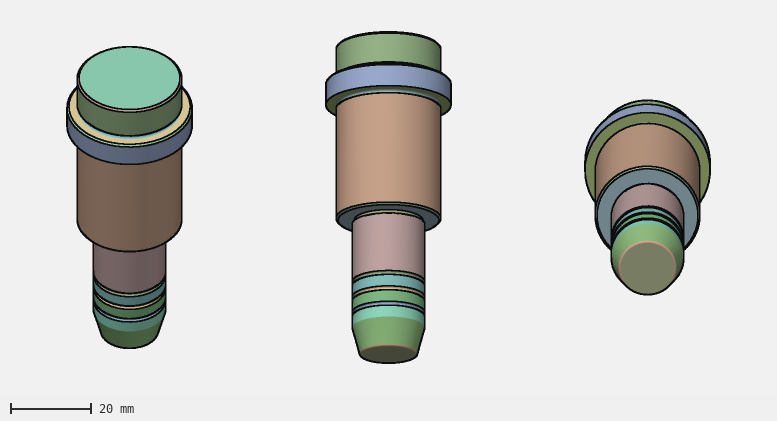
import cadquery as cq
import math

total_length = 80.0
cap_bottom = 72.0
flange_top = 71.0
flange_bottom = 65.0
body_bottom = 35.0
shank_top = 34.0
taper_top = 7.0
barb_groove_tops = (19.0, 15.0, 11.0)

body_radius = 26.0 / 2
flange_radius = 31.0 / 2
shank_radius = 18.0 / 2

edge_chamfer = 0.5
tip_fillet = 0.5
taper_angle = math.radians(15)
groove_radius = 0.5
neck_depth = 0.5


def add_groove(profile, radius, top):
    """Continue a downward profile through one half-round groove."""
    return (
        profile.lineTo(-radius, top)
        .threePointArc(
            (-(radius - groove_radius), top - groove_radius),
            (-radius, top - 2 * groove_radius),
        )
    )


def add_head(profile):
    """Trace the cap, the flange and the body, from the top face downward."""
    profile = (
        profile.lineTo(-(body_radius - edge_chamfer), total_length)
        .lineTo(-body_radius, total_length - edge_chamfer)
    )
    profile = add_groove(profile, body_radius, cap_bottom)
    profile = (
        profile.lineTo(-(flange_radius - edge_chamfer), flange_top)
        .lineTo(-flange_radius, flange_top - edge_chamfer)
        .lineTo(-flange_radius, flange_bottom)
    )
    profile = add_groove(profile, body_radius, flange_bottom)
    return (
        profile.lineTo(-body_radius, body_bottom + edge_chamfer)
        .lineTo(-(body_radius - edge_chamfer), body_bottom)
    )


def add_shank(profile):
    """Trace the neck, the grooved shank and the tapered tip, down to the end face."""
    neck_radius = shank_radius - neck_depth
    tip_corner_radius = shank_radius - taper_top * math.tan(taper_angle)
    profile = (
        profile.lineTo(-neck_radius, body_bottom)
        .lineTo(-neck_radius, shank_top)
        .lineTo(-shank_radius, shank_top)
    )
    for groove_top in barb_groove_tops:
        profile = add_groove(profile, shank_radius, groove_top)
    return (
        profile.lineTo(-shank_radius, taper_top)
        .lineTo(-tip_corner_radius, 0)
        .lineTo(0, 0)
    )


half_profile = cq.Workplane("XZ").moveTo(0, total_length)
half_profile = add_head(half_profile)
half_profile = add_shank(half_profile)
shaft = half_profile.close().revolve(360, (0, 0, 0), (0, 1, 0))

result = shaft.faces("<Z").edges().fillet(tip_fillet)